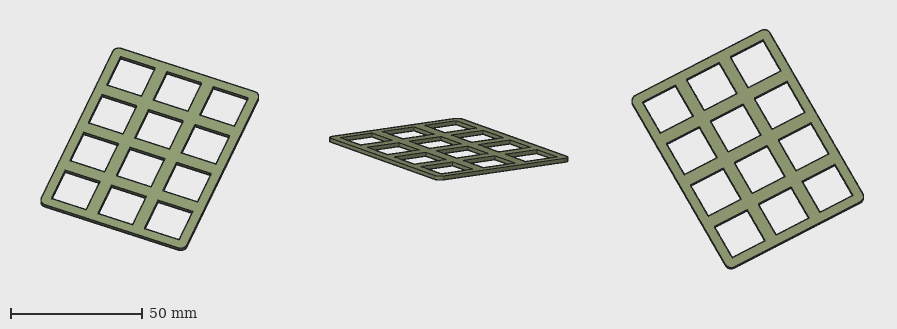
import cadquery as cq

columns = 3
rows = 4
key_pitch = 19.05
opening_side = 14.224

edge_distance = 10.795
corner_radius = 2.54
thickness = 1.57

plate_width = (columns - 1) * key_pitch + 2 * edge_distance
plate_length = (rows - 1) * key_pitch + 2 * edge_distance


def make_plate():
    """Flat plate with rounded vertical corners, resting on Z = 0."""
    plate = cq.Workplane("XY").box(plate_width, plate_length, thickness, centered=(True, True, False))
    return plate.edges("|Z").fillet(corner_radius)


def make_opening_cutters():
    """Square prisms on a centred grid, as tall as the plate is thick."""
    return (
        cq.Workplane("XY")
        .rarray(key_pitch, key_pitch, columns, rows)
        .rect(opening_side, opening_side)
        .extrude(thickness)
    )


result = make_plate().cut(make_opening_cutters())